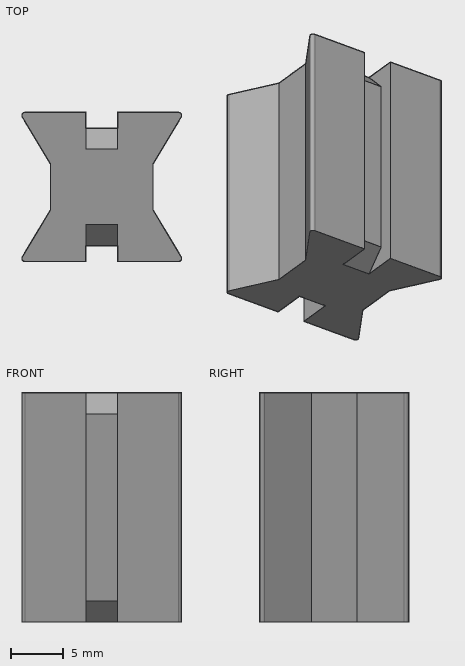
import cadquery as cq

sharp_tip_width = 15.65
depth = 14.2
height = 21.8

waist_width = 9.77
waist_flat = 4.35
tip_radius = 0.3

slot_width = 3.0
slot_floor_depth = 1.5
floor_chamfer = 2.0


def dovetail_body():
    """Prism with a dovetail groove along each X side and rounded tips."""
    right_side = [
        (sharp_tip_width / 2, -depth / 2),
        (waist_width / 2, -waist_flat / 2),
        (waist_width / 2, waist_flat / 2),
        (sharp_tip_width / 2, depth / 2),
    ]
    left_side = [(-x, -y) for x, y in right_side]
    body = cq.Workplane("XY").polyline(right_side + left_side).close().extrude(height)
    return body.faces("<Y or >Y").edges("|Z").fillet(tip_radius)


def slot_cutter(side):
    """Slot volume on the +Y (side=1) or -Y (side=-1) face."""
    outer_y = side * depth / 2
    floor_y = outer_y - side * slot_floor_depth
    end_y = floor_y - side * floor_chamfer
    profile = [
        (outer_y, 0),
        (end_y, 0),
        (floor_y, floor_chamfer),
        (floor_y, height - floor_chamfer),
        (end_y, height),
        (outer_y, height),
    ]
    return cq.Workplane("YZ").polyline(profile).close().extrude(slot_width / 2, both=True)


result = dovetail_body()
for side in (-1, 1):
    result = result.cut(slot_cutter(side))